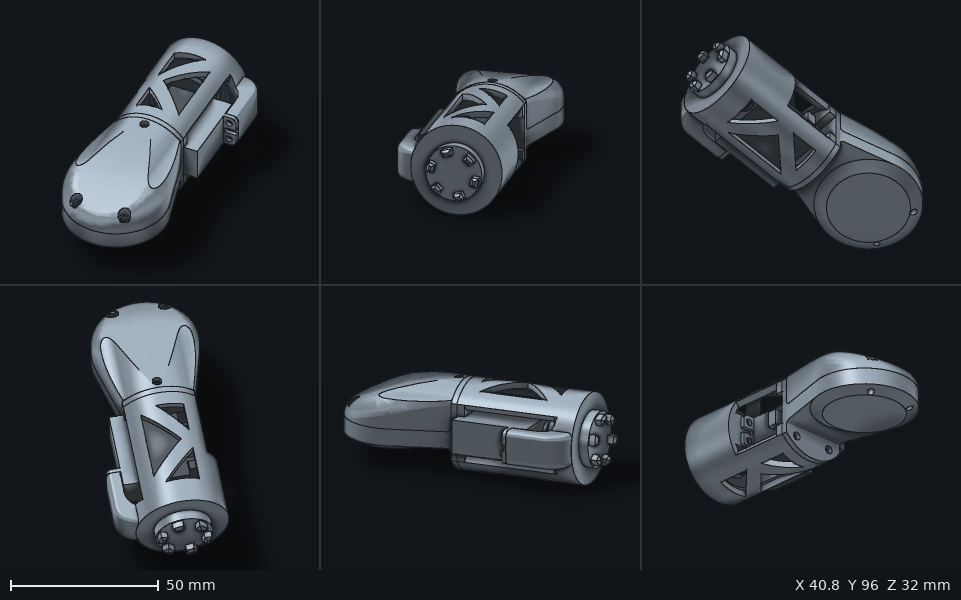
import cadquery as cq
import math


sleeve_radius = 32.0 / 2
sleeve_bore = 13.8
flat_half_width = 12.4
sleeve_start = 2.1
sleeve_end = 46.0
full_round_start = 24.6
sleeve_bore_end = 38.0
end_step_bore = 12.5
end_wall_face = 40.3
side_opening_half_height = math.sqrt(sleeve_radius**2 - flat_half_width**2)
opening_lip_z = 8.2
ledge_inner_x = -5.9
ledge_thickness = 3.2
cradle_length = 2.9

window_left = -7.5
window_right = 7.6
window_low = 6.9
window_high = 37.1
upper_window_right = 4.1
upper_window_low = 24.5
middle_window_apex = (-4.0, 21.1)
middle_window_low = 8.6
middle_window_high = 33.3
lower_window_right = 2.1
lower_window_high = 17.3

hook_outer_x = 22.4
hook_outer_radius = 7.7
hook_inner_x = 17.7
hook_inner_radius = 6.3
hook_inner_arc_y = 32.9
hook_edge_fillet = 1.9

servo_half_width = 6.0
servo_min_x = -5.5
servo_max_x = 17.4
servo_bottom = 2.6
servo_top = 30.0
ear_reach = 4.7
ear_thickness = 1.4
ear_corner = 1.9
ear_hole_radius = 1.2
ear_hole_offset = 2.1
ear_hole_spacing = 6.9
ear_slot_width = 2.0
ear_slot_offset = 1.4
boss_radius = 4.3
boss_height = 1.2
shaft_radius = 3.6
cable_block_reach = 3.7
cable_block_low = 8.6
cable_block_length = 3.6
cable_block_height = 5.6

horn_radius = 7.9
horn_start = 33.4
horn_end = 35.5
flange_radius = 8.3
flange_end = 37.0
neck_radius = 4.8
coupling_radius = 9.8
coupling_face = 49.4
teeth_count = 6
tooth_height = 3.1
tooth_outer_radius = 9.2
tooth_inner_radius = 6.7
tooth_angle = 24.0
first_tooth_angle = 15.0
tooth_chamfer = 0.9

head_radius = 18.4
head_center_y = -25.1
base_depth = 6.0
rim_cone_height = 2.1
rim_cone_inset = 4.2
neck_fillet = 1.5
cover_edge_fillet = 6.7
dome_edge_x = 10.2
shoulder_height = 10.0
brow_points = [(-9.6, 15.0), (-20.2, 12.6), (-35.4, 7.1), (-48.0, 1.2)]

head_screw_x = 9.0
head_screw_y = -37.6
head_screw_seat = 3.9
screw_head_radius = 2.1
screw_clearance_radius = 1.4
screw_thread_radius = 1.2
neck_screw_y = -2.6
neck_screw_radius = 1.5
neck_screw_depth = 2.9
plate_screw_x = 7.5
plate_screw_z = -10.0

margin = 1.0
neck_overrun = 3.8


def cylinder_y(radius, start, end):
    """Cylinder on the sleeve axis between two Y positions."""
    return cq.Workplane("XZ", origin=(0, start, 0)).circle(radius).extrude(start - end)


def box_between(x_range, y_range, z_range):
    """Box given by its limits along each axis."""
    lows = [min(r) for r in (x_range, y_range, z_range)]
    sizes = [max(r) - min(r) for r in (x_range, y_range, z_range)]
    return cq.Workplane("XY").box(*sizes, centered=False).translate(tuple(lows))


def slab_z(points, half_height):
    """Polygon in the XY plane, extruded both ways along Z."""
    return cq.Workplane("XY", origin=(0, 0, -half_height)).polyline(points).close().extrude(2 * half_height)


def hole_z(x, y, radius, low, high):
    """Cylinder along Z used to cut a screw hole."""
    return cq.Workplane("XY", origin=(x, y, low)).circle(radius).extrude(high - low)


def make_window_cutters():
    """Three triangles that leave K-shaped struts in the sleeve walls."""
    upper = [
        (window_left, window_high),
        (upper_window_right, window_high),
        (window_left, upper_window_low),
    ]
    middle = [
        (window_right, middle_window_high),
        middle_window_apex,
        (window_right, middle_window_low),
    ]
    lower = [
        (window_left, lower_window_high),
        (window_left, window_low),
        (lower_window_right, window_low),
    ]
    return [slab_z(points, sleeve_radius) for points in (upper, middle, lower)]


def make_hook():
    """Arm that curves from the end of the sleeve down to the +X servo ear."""
    arc_center_x = hook_outer_x - hook_outer_radius
    arc_center_y = sleeve_end - hook_outer_radius
    middle = hook_outer_radius * math.sqrt(0.5)
    hook = (
        cq.Workplane("XY")
        .moveTo(flat_half_width, full_round_start)
        .lineTo(hook_outer_x, full_round_start)
        .lineTo(hook_outer_x, arc_center_y)
        .threePointArc((arc_center_x + middle, arc_center_y + middle), (arc_center_x, sleeve_end))
        .lineTo(flat_half_width, sleeve_end)
        .close()
        .extrude(servo_half_width, both=True)
    )
    outer_edges = cq.selectors.BoxSelector(
        (arc_center_x + margin, full_round_start + margin, -sleeve_radius),
        (hook_outer_x + margin, sleeve_end + margin, sleeve_radius),
    )
    return hook.edges(outer_edges).edges("not |Z").fillet(hook_edge_fillet)


def make_hook_hollow(inner_x, half_height):
    """Space under the hook, from inner_x out to the inside of the hook."""
    arc_center_x = hook_inner_x - hook_inner_radius
    start_angle = math.acos((inner_x - arc_center_x) / hook_inner_radius)
    arc_points = [
        (
            arc_center_x + hook_inner_radius * math.cos(angle),
            hook_inner_arc_y + hook_inner_radius * math.sin(angle),
        )
        for angle in (start_angle / 2, start_angle)
    ]
    return (
        cq.Workplane("XY", origin=(0, 0, -half_height))
        .moveTo(inner_x, full_round_start)
        .lineTo(hook_inner_x, full_round_start)
        .lineTo(hook_inner_x, hook_inner_arc_y)
        .threePointArc(*arc_points)
        .close()
        .extrude(2 * half_height)
    )


def make_side_flats():
    """Flats that trim the sleeve on both sides below its full round end."""
    return [
        box_between(
            (side * flat_half_width, side * sleeve_radius),
            (sleeve_start, full_round_start),
            (-sleeve_radius, sleeve_radius),
        )
        for side in (-1, 1)
    ]


def make_side_opening(side, end):
    """Opening beside the servo whose long edges slant inwards from the flat to the bore."""
    lip_x = math.sqrt(sleeve_bore**2 - opening_lip_z**2)
    return (
        cq.Workplane("XZ", origin=(0, sleeve_start + cradle_length, 0))
        .moveTo(0, -opening_lip_z)
        .lineTo(side * lip_x, -opening_lip_z)
        .lineTo(side * flat_half_width, -side_opening_half_height)
        .lineTo(side * flat_half_width, side_opening_half_height)
        .lineTo(side * lip_x, opening_lip_z)
        .lineTo(0, opening_lip_z)
        .close()
        .extrude(sleeve_start + cradle_length - end)
    )


def make_sleeve():
    """Sleeve with its hook, side openings, windows, servo cradle and ear ledge."""
    outside = cylinder_y(sleeve_radius, sleeve_start, sleeve_end)
    hollow = cylinder_y(sleeve_bore, sleeve_start + cradle_length, sleeve_bore_end)
    ear_ledge = box_between(
        (-sleeve_radius, ledge_inner_x),
        (full_round_start, full_round_start + ledge_thickness),
        (-servo_half_width, servo_half_width),
    )
    end_step = cylinder_y(end_step_bore, sleeve_bore_end, end_wall_face)
    flange_hole = cylinder_y(flange_radius, end_wall_face, sleeve_end)
    servo_bay = box_between(
        (-sleeve_radius, sleeve_radius),
        (sleeve_start, sleeve_start + cradle_length),
        (-servo_half_width, servo_half_width),
    )
    left_opening = make_side_opening(-1, full_round_start)
    right_opening = make_side_opening(1, sleeve_bore_end)
    sleeve = outside.union(make_hook()).cut(hollow).cut(end_step).cut(flange_hole)
    side_cutters = (servo_bay, left_opening, right_opening, *make_side_flats())
    hook_cutters = (
        make_hook_hollow(flat_half_width, sleeve_radius),
        make_hook_hollow(hook_inner_x - hook_inner_radius, opening_lip_z),
    )
    for cutter in (*side_cutters, *hook_cutters, *make_window_cutters()):
        sleeve = sleeve.cut(cutter)
    sleeve = sleeve.union(ear_ledge.intersect(outside))
    for side in (-1, 1):
        screw = cylinder_y(screw_thread_radius, sleeve_start, sleeve_start + cradle_length)
        sleeve = sleeve.cut(screw.translate((side * plate_screw_x, 0, plate_screw_z)))
    return sleeve


def make_ear_cutters(edge_x, side):
    """Two screw holes and an open slot in the ear that starts at edge_x and points to side."""
    hole_x = edge_x + side * ear_hole_offset
    slot_x = edge_x + side * ear_slot_offset
    ear_low = full_round_start - ear_thickness
    cutters = [
        cylinder_y(ear_hole_radius, ear_low, full_round_start).translate((hole_x, 0, z))
        for z in (-ear_hole_spacing / 2, ear_hole_spacing / 2)
    ]
    cutters.append(cylinder_y(ear_slot_width / 2, ear_low, full_round_start).translate((slot_x, 0, 0)))
    cutters.append(
        box_between(
            (slot_x, edge_x + side * ear_reach),
            (ear_low, full_round_start),
            (-ear_slot_width / 2, ear_slot_width / 2),
        )
    )
    return cutters


def make_servo():
    """Servo with its two screw ears, cable block, boss and shaft."""
    width = (-servo_half_width, servo_half_width)
    body = box_between((servo_min_x, servo_max_x), (servo_bottom, servo_top), width)
    ears = box_between(
        (servo_min_x - ear_reach, servo_max_x + ear_reach),
        (full_round_start - ear_thickness, full_round_start),
        width,
    )
    ears = ears.edges("|Y").fillet(ear_corner)
    for edge_x, side in ((servo_min_x, -1), (servo_max_x, 1)):
        for cutter in make_ear_cutters(edge_x, side):
            ears = ears.cut(cutter)
    cable_block = box_between(
        (servo_min_x - cable_block_reach, servo_min_x),
        (cable_block_low, cable_block_low + cable_block_length),
        (-cable_block_height / 2, cable_block_height / 2),
    )
    boss = cylinder_y(boss_radius, servo_top, servo_top + boss_height)
    shaft = cylinder_y(shaft_radius, servo_top, horn_start)
    return body.union(ears).union(cable_block).union(boss).union(shaft)


def make_horn():
    """Round horn on the end of the servo shaft."""
    return cylinder_y(horn_radius, horn_start, horn_end)


def make_tooth():
    """Clutch tooth at the top of the ring, with its free end chamfered all round."""
    end = coupling_face + tooth_height
    half_angle = math.radians(tooth_angle / 2)
    wedge_x = coupling_radius * math.tan(half_angle)
    wedge = (
        cq.Workplane("XZ", origin=(0, coupling_face, 0))
        .polyline([(0, 0), (-wedge_x, coupling_radius), (wedge_x, coupling_radius)])
        .close()
        .extrude(-tooth_height)
    )
    tooth = cylinder_y(tooth_outer_radius, coupling_face, end).intersect(wedge)
    tooth = tooth.cut(cylinder_y(tooth_inner_radius, coupling_face, end))
    return tooth.faces(">Y").chamfer(tooth_chamfer)


def make_coupling():
    """Flange on the horn, neck through the end wall, and an outer disc with a ring of clutch teeth."""
    coupling = (
        cylinder_y(flange_radius, horn_end, flange_end)
        .union(cylinder_y(neck_radius, flange_end, sleeve_end))
        .union(cylinder_y(coupling_radius, sleeve_end, coupling_face))
    )
    tooth = make_tooth()
    for i in range(teeth_count):
        angle = first_tooth_angle + i * 360 / teeth_count
        coupling = coupling.union(tooth.rotate((0, 0, 0), (0, 1, 0), angle))
    return coupling


def head_outline(low, high, overrun=0.0):
    """Round head whose straight sides run tangentially from the neck corners, extruded from low to high."""
    distance = math.hypot(flat_half_width, head_center_y)
    turn = math.atan2(flat_half_width, -head_center_y) + math.acos(head_radius / distance)
    tangent_x = head_radius * math.sin(turn)
    tangent_y = head_center_y + head_radius * math.cos(turn)
    neck_half_width = flat_half_width + overrun * (flat_half_width - tangent_x) / -tangent_y
    return (
        cq.Workplane("XY", origin=(0, 0, low))
        .moveTo(neck_half_width, overrun)
        .lineTo(tangent_x, tangent_y)
        .threePointArc((0, head_center_y - head_radius), (-tangent_x, tangent_y))
        .lineTo(-neck_half_width, overrun)
        .close()
        .extrude(high - low)
    )


def make_brow(length):
    """Solid under the long curve, kept level for a given length behind the neck."""
    return (
        cq.Workplane("YZ", origin=(-head_radius, 0, 0))
        .moveTo(length, 0)
        .lineTo(length, sleeve_radius)
        .lineTo(0, sleeve_radius)
        .spline(brow_points, includeCurrent=True)
        .lineTo(brow_points[-1][0], 0)
        .close()
        .extrude(2 * head_radius)
    )


def make_shoulders():
    """Cross-section of the cover: a dome that runs through hollow curves onto level shoulders."""
    dome_edge_z = math.sqrt(sleeve_radius**2 - dome_edge_x**2)
    hollow_radius = (dome_edge_z - shoulder_height) / (1 - dome_edge_z / sleeve_radius)
    reach = 1 + hollow_radius / sleeve_radius
    hollow_x = dome_edge_x * reach
    hollow_z = dome_edge_z * reach
    edge_angle = math.atan2(dome_edge_x, dome_edge_z)
    middle_x = hollow_x - hollow_radius * math.sin(edge_angle / 2)
    middle_z = hollow_z - hollow_radius * math.cos(edge_angle / 2)
    side_x = head_radius + margin
    return (
        cq.Workplane("XZ")
        .moveTo(-side_x, 0)
        .lineTo(-side_x, shoulder_height)
        .lineTo(-hollow_x, shoulder_height)
        .threePointArc((-middle_x, middle_z), (-dome_edge_x, dome_edge_z))
        .threePointArc((0, sleeve_radius), (dome_edge_x, dome_edge_z))
        .threePointArc((middle_x, middle_z), (hollow_x, shoulder_height))
        .lineTo(side_x, shoulder_height)
        .lineTo(side_x, 0)
        .close()
        .extrude(head_radius - head_center_y)
    )


def make_cover():
    """Upper half of the head: the rounded brow shape trimmed by the dome and shoulders."""
    cover = head_outline(0, sleeve_radius + margin, neck_overrun).intersect(make_brow(neck_overrun))
    above_base = cq.selectors.BoxSelector(
        (-head_radius, head_center_y - head_radius - margin, margin),
        (head_radius, neck_overrun, sleeve_radius + margin),
    )
    cover = cover.edges(above_base).edges("not (|Z or |X)").fillet(cover_edge_fillet)
    cover = cover.intersect(make_shoulders())
    cover = cover.edges(cq.selectors.NearestToPointSelector((0, 0, 0))).fillet(neck_fillet)
    for side in (-1, 1):
        x = side * head_screw_x
        cover = cover.cut(hole_z(x, head_screw_y, screw_clearance_radius, 0, head_screw_seat))
        cover = cover.cut(hole_z(x, head_screw_y, screw_head_radius, head_screw_seat, sleeve_radius))
    cover = cover.cut(hole_z(0, neck_screw_y, screw_thread_radius, 0, sleeve_radius))
    return cover.cut(
        hole_z(0, neck_screw_y, neck_screw_radius, sleeve_radius - neck_screw_depth, sleeve_radius)
    )


def make_neck_fillet(z, side):
    """Concave fillet between the plate and the level face at z; side is the way that face looks."""
    strip = box_between(
        (-head_radius, head_radius), (-neck_fillet, 0), (z, z + side * neck_fillet)
    )
    rounding = (
        cq.Workplane("YZ", origin=(-head_radius, -neck_fillet, z + side * neck_fillet))
        .circle(neck_fillet)
        .extrude(2 * head_radius)
    )
    return strip.cut(rounding).intersect(head_outline(-base_depth - neck_fillet, neck_fillet))


def make_base():
    """Lower half of the head with the end plate that closes the sleeve."""
    plate = cylinder_y(sleeve_radius, 0, sleeve_start).intersect(
        box_between(
            (-flat_half_width, flat_half_width), (0, sleeve_start), (-sleeve_radius, sleeve_radius)
        )
    )
    shell = head_outline(-base_depth, 0)
    cone = (
        cq.Workplane("XY", origin=(0, head_center_y, -base_depth))
        .circle(head_radius)
        .workplane(offset=-rim_cone_height)
        .circle(head_radius - rim_cone_inset)
        .loft()
    )
    base = plate.union(shell).union(cone)
    base = base.union(make_neck_fillet(0, 1)).union(make_neck_fillet(-base_depth, -1))
    for side in (-1, 1):
        x = side * head_screw_x
        base = base.cut(hole_z(x, head_screw_y, screw_thread_radius, -base_depth - rim_cone_height, 0))
        screw = cylinder_y(screw_clearance_radius, 0, sleeve_start)
        base = base.cut(screw.translate((side * plate_screw_x, 0, plate_screw_z)))
    return base


sleeve = make_sleeve()
servo = make_servo()
horn = make_horn()
coupling = make_coupling()
cover = make_cover()
base = make_base()

result = cq.Compound.makeCompound(
    [sleeve.val(), servo.val(), horn.val(), coupling.val(), cover.val(), base.val()]
)